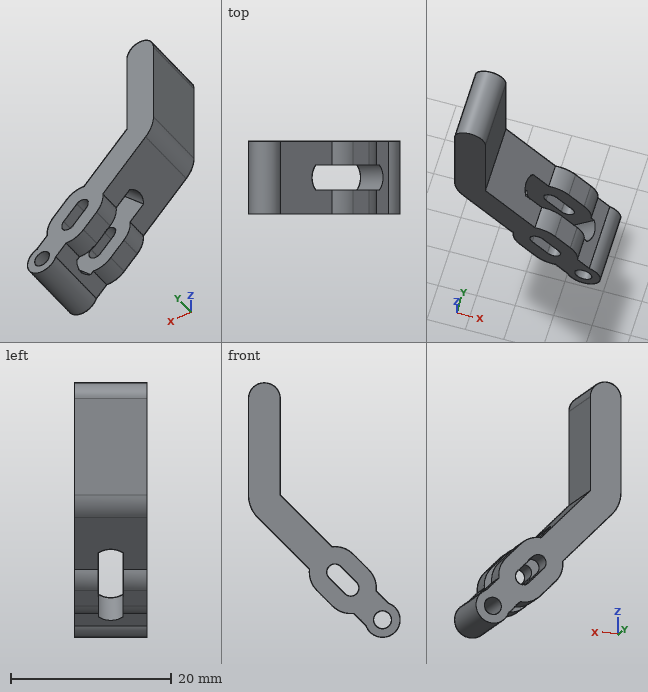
import cadquery as cq
import math

WIDTH = 9.1
THICKNESS = 4.0
WALL_HEIGHT = 12.0
ARM_LENGTH = 20.0
ARM_SLOPE = -45.0

EYE_RADIUS = 2.2
PIVOT_DIAMETER = 2.2

CROSS_SLOT_POSITION = 13.0
CROSS_SLOT_TRAVEL = 2.8
CROSS_SLOT_WIDTH = 2.0
BOSS_WALL = 2.2
BOSS_WIDTH = CROSS_SLOT_WIDTH + 2 * BOSS_WALL

WINDOW_START = 5.6
WINDOW_LENGTH = 12.5
WINDOW_WIDTH = 3.1
WINDOW_END_RADIUS = 2.2

HALF_THICKNESS = THICKNESS / 2


def side_plane():
    """Plane of the side profile: local x is X, local y is Z."""
    return cq.Workplane("XZ")


def arm_plane(along):
    """Side plane tilted to the arm, centred on the arm's mid-plane at a given distance."""
    return side_plane().transformed(rotate=(0, 0, ARM_SLOPE)).center(along, -HALF_THICKNESS)


def across(profile):
    """Extrude a side profile over the full width."""
    return profile.extrude(WIDTH / 2, both=True)


def make_wall():
    """Upright wall with a fully rounded top."""
    return across(
        side_plane()
        .lineTo(0, WALL_HEIGHT)
        .threePointArc((-HALF_THICKNESS, WALL_HEIGHT + HALF_THICKNESS), (-THICKNESS, WALL_HEIGHT))
        .lineTo(-THICKNESS, 0)
        .close()
    )


def bend_point(degrees):
    """Point on the outside of the bend at an angle from +X."""
    angle = math.radians(degrees)
    return (THICKNESS * math.cos(angle), THICKNESS * math.sin(angle))


def make_bend():
    """Sector about the inner corner, joining the wall to the arm."""
    wall_angle = -180.0
    arm_angle = ARM_SLOPE - 90.0
    return across(
        side_plane()
        .lineTo(*bend_point(wall_angle))
        .threePointArc(bend_point((wall_angle + arm_angle) / 2), bend_point(arm_angle))
        .close()
    )


def make_arm():
    """Sloping arm ending in the round pivot eye."""
    bar = across(arm_plane(ARM_LENGTH / 2).rect(ARM_LENGTH, THICKNESS))
    eye = across(arm_plane(ARM_LENGTH).circle(EYE_RADIUS))
    return bar.union(eye)


def make_rounded_bar(width):
    """Full-width bar with round ends on the cross slot's end-arc centres."""
    return across(arm_plane(CROSS_SLOT_POSITION).slot2D(CROSS_SLOT_TRAVEL + width, width))


def make_pivot_hole():
    return across(arm_plane(ARM_LENGTH).circle(PIVOT_DIAMETER / 2))


def make_window():
    """Straight-sided cutter with shallow arc ends, tall enough to clear the boss."""
    half_width = WINDOW_WIDTH / 2
    half_length = WINDOW_LENGTH / 2
    bulge = WINDOW_END_RADIUS - math.sqrt(WINDOW_END_RADIUS**2 - half_width**2)
    half_side = half_length - bulge
    return (
        arm_plane(WINDOW_START + half_length)
        .transformed(rotate=(90, 0, 0))
        .moveTo(-half_side, -half_width)
        .lineTo(half_side, -half_width)
        .threePointArc((half_length, 0), (half_side, half_width))
        .lineTo(-half_side, half_width)
        .threePointArc((-half_length, 0), (-half_side, -half_width))
        .close()
        .extrude(BOSS_WIDTH, both=True)
    )


boss = make_rounded_bar(BOSS_WIDTH)
cross_slot = make_rounded_bar(CROSS_SLOT_WIDTH)

body = make_wall().union(make_bend()).union(make_arm()).union(boss)
result = body.cut(cross_slot).cut(make_pivot_hole()).cut(make_window())